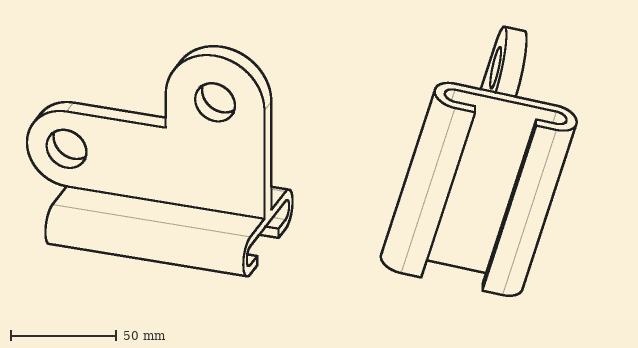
import cadquery as cq

total_length = 120.0
channel_width = 70.0
channel_height = 20.0
channel_wall = 5.0
lip_gap = 30.0

plate_thickness = 10.0
hole_diameter = 20.0
low_lobe_radius = 20.0
high_lobe_radius = 25.0
high_lobe_z = 78.0

low_lobe_x = low_lobe_radius
low_lobe_z = channel_height + low_lobe_radius
arm_top_z = low_lobe_z + low_lobe_radius
high_lobe_x = total_length - high_lobe_radius
high_lobe_left_x = high_lobe_x - high_lobe_radius
channel_length = total_length - low_lobe_x


def rounded_bar(width, height):
    """Bar along X with fully round sides, centred on the channel's axis."""
    return (
        cq.Workplane("YZ", origin=(low_lobe_x, 0, channel_height / 2))
        .slot2D(width, height)
        .extrude(channel_length)
    )


def make_channel():
    """C-shaped rail with rounded sides and two inward lips below."""
    outer = rounded_bar(channel_width, channel_height)
    inner = rounded_bar(channel_width - 2 * channel_wall, channel_height - 2 * channel_wall)
    opening = cq.Workplane("XY").box(
        channel_length, lip_gap, channel_height / 2, centered=(False, True, False)
    ).translate((low_lobe_x, 0, 0))
    return outer.cut(inner).cut(opening)


def make_plate():
    """L-shaped upright plate with a round lobe and a hole at each end."""
    back_face = cq.Workplane("XZ", origin=(0, plate_thickness / 2, 0))
    blank = (
        back_face
        .moveTo(low_lobe_x, channel_height)
        .lineTo(total_length, channel_height)
        .lineTo(total_length, high_lobe_z)
        .threePointArc((high_lobe_x, high_lobe_z + high_lobe_radius), (high_lobe_left_x, high_lobe_z))
        .lineTo(high_lobe_left_x, arm_top_z)
        .lineTo(low_lobe_x, arm_top_z)
        .threePointArc((0, low_lobe_z), (low_lobe_x, channel_height))
        .close()
        .extrude(plate_thickness)
    )
    holes = (
        back_face
        .pushPoints([(low_lobe_x, low_lobe_z), (high_lobe_x, high_lobe_z)])
        .circle(hole_diameter / 2)
        .extrude(plate_thickness)
    )
    return blank.cut(holes)


result = make_channel().union(make_plate())